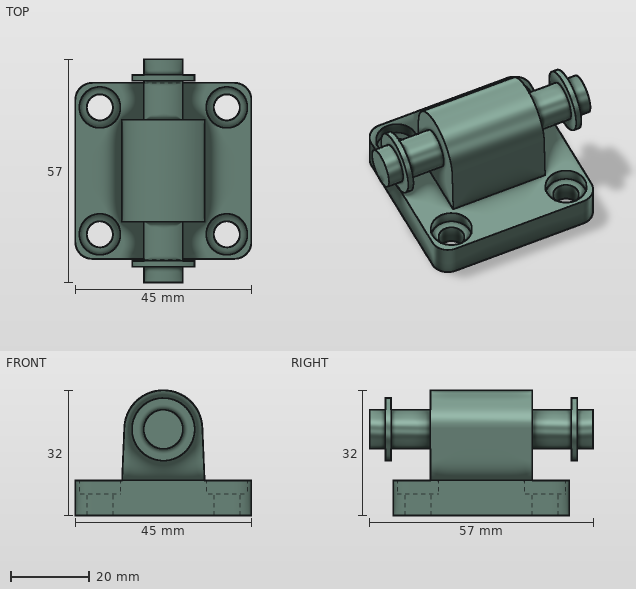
import cadquery as cq
import math

PLATE_SIDE = 45.0
PLATE_THICKNESS = 9.0
PLATE_CORNER_RADIUS = 4.4

HOLE_SPACING = 32.4
HOLE_DIAMETER = 6.6
COUNTERBORE_DIAMETER = 10.5
COUNTERBORE_DEPTH = 3.4

LUG_LENGTH = 26.0
LUG_TOP_RADIUS = 10.0
LUG_FLARE_ANGLE = math.radians(2.4)

PIN_DIAMETER = 10.0
PIN_LENGTH = 57.0
PIN_HEIGHT = 22.0
RING_DIAMETER = 16.0
RING_THICKNESS = 1.5
RING_END_DISTANCE = 4.0


def make_plate():
    """Square plate with rounded corners and four counterbored holes."""
    return (
        cq.Workplane("XY")
        .rect(PLATE_SIDE, PLATE_SIDE)
        .extrude(PLATE_THICKNESS)
        .edges("|Z")
        .fillet(PLATE_CORNER_RADIUS)
        .faces(">Z")
        .workplane()
        .rect(HOLE_SPACING, HOLE_SPACING, forConstruction=True)
        .vertices()
        .cboreHole(HOLE_DIAMETER, COUNTERBORE_DIAMETER, COUNTERBORE_DEPTH)
    )


def make_lug():
    """Lug standing on the plate, its flared sides tangent to the round top."""
    tangent_x = LUG_TOP_RADIUS * math.cos(LUG_FLARE_ANGLE)
    tangent_z = PIN_HEIGHT + LUG_TOP_RADIUS * math.sin(LUG_FLARE_ANGLE)
    foot_x = tangent_x + (tangent_z - PLATE_THICKNESS) * math.tan(LUG_FLARE_ANGLE)
    return (
        cq.Workplane("XZ", origin=(0, LUG_LENGTH / 2, 0))
        .moveTo(-foot_x, PLATE_THICKNESS)
        .lineTo(foot_x, PLATE_THICKNESS)
        .lineTo(tangent_x, tangent_z)
        .threePointArc((0, PIN_HEIGHT + LUG_TOP_RADIUS), (-tangent_x, tangent_z))
        .close()
        .extrude(LUG_LENGTH)
    )


def make_disc(diameter, length, centre_y):
    """Cylinder on the pin axis, centred at the given Y."""
    return (
        cq.Workplane("XZ", origin=(0, centre_y + length / 2, PIN_HEIGHT))
        .circle(diameter / 2)
        .extrude(length)
    )


def make_pin():
    """Pin with its two retaining rings."""
    pin = make_disc(PIN_DIAMETER, PIN_LENGTH, 0)
    ring_y = PIN_LENGTH / 2 - RING_END_DISTANCE - RING_THICKNESS / 2
    for side in (-1, 1):
        pin = pin.union(make_disc(RING_DIAMETER, RING_THICKNESS, side * ring_y))
    return pin


result = make_plate().union(make_lug()).union(make_pin())